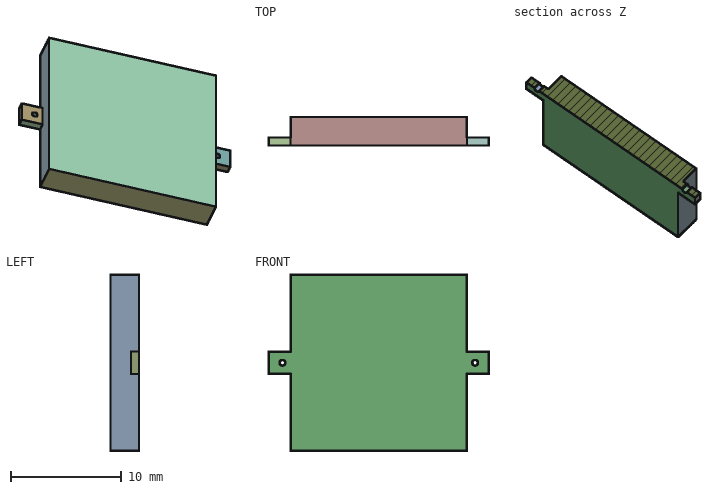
import cadquery as cq

plate_side = 16.0
plate_thickness = 2.6

overall_length = 20.0
tab_height = 2.0
tab_thickness = 0.75

hole_diameter = 0.5
hole_spacing = 17.5


def front_block(length, thickness, height):
    """Block centred on X and Z whose front face lies on Y = 0."""
    return cq.Workplane("XY").box(length, thickness, height, centered=(True, False, True))


def tab_holes():
    """Cylinders along Y through both tabs."""
    return (
        cq.Workplane("XZ")
        .pushPoints([(side * hole_spacing / 2, 0) for side in (-1, 1)])
        .circle(hole_diameter / 2)
        .extrude(-tab_thickness)
    )


plate = front_block(plate_side, plate_thickness, plate_side)
tabs = front_block(overall_length, tab_thickness, tab_height)

result = plate.union(tabs).cut(tab_holes())